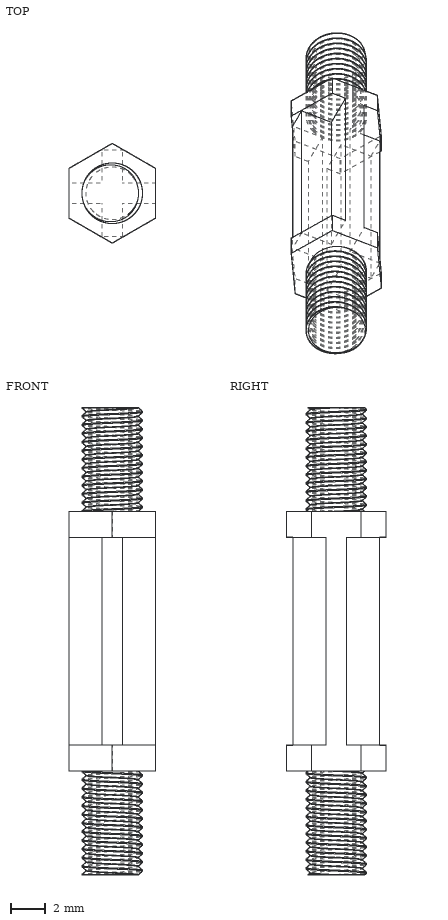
import cadquery as cq
import math

across_flats = 5.0
collar_height = 1.5
hexagon_sides = 6

shank_length = 12.0
rib_thickness = 1.2

stud_length = 6.0
crest_radius = 1.75
thread_depth = 0.25
thread_pitch = 0.5
crest_flat = thread_pitch / 8
crest_start_angle = 180
core_radius = 1.52
ridge_embed = 0.01
ridge_base_radius = core_radius - ridge_embed

collar_base = shank_length / 2
stud_base = collar_base + collar_height


def make_shank():
    """Two crossed plates, each as wide as the hexagon across its flats."""
    plate_along_x = cq.Workplane("XY").box(across_flats, rib_thickness, shank_length)
    plate_along_y = cq.Workplane("XY").box(rib_thickness, across_flats, shank_length)
    return plate_along_x.union(plate_along_y)


def make_collar():
    """Hexagonal collar on the upper end of the shank, with corners on the Y axis."""
    across_corners = across_flats / math.cos(math.pi / hexagon_sides)
    return (
        cq.Workplane("XY")
        .workplane(offset=collar_base)
        .transformed(rotate=(0, 0, 90))
        .polygon(hexagon_sides, across_corners)
        .extrude(collar_height)
    )


def make_thread_ridge(length):
    """Right-hand V ridge with a narrow flat crest, wound upwards from Z = 0."""
    half_crest = crest_flat / 2
    flank_slope = (thread_pitch - crest_flat) / 2 / thread_depth
    half_base = half_crest + flank_slope * (crest_radius - ridge_base_radius)
    helix = cq.Wire.makeHelix(thread_pitch, length, ridge_base_radius)
    return (
        cq.Workplane("XZ")
        .moveTo(ridge_base_radius, -half_base)
        .lineTo(crest_radius, -half_crest)
        .lineTo(crest_radius, half_crest)
        .lineTo(ridge_base_radius, half_base)
        .close()
        .sweep(cq.Workplane(helix), isFrenet=True)
        .rotate((0, 0, 0), (0, 0, 1), crest_start_angle)
    )


def make_stud():
    """Threaded stud, wound one turn past both ends and then trimmed to length."""
    wound_length = stud_length + 2 * thread_pitch
    core_length = wound_length + 2 * thread_pitch
    core = cq.Workplane("XY").workplane(offset=-thread_pitch).circle(core_radius).extrude(core_length)
    threaded_rod = core.union(make_thread_ridge(wound_length))
    trimming_block = (
        cq.Workplane("XY")
        .workplane(offset=thread_pitch)
        .rect(across_flats, across_flats)
        .extrude(stud_length)
    )
    return threaded_rod.intersect(trimming_block).translate((0, 0, stud_base - thread_pitch))


upper_end = make_collar().union(make_stud())
lower_end = upper_end.mirror("XY")
result = make_shank().union(upper_end).union(lower_end)